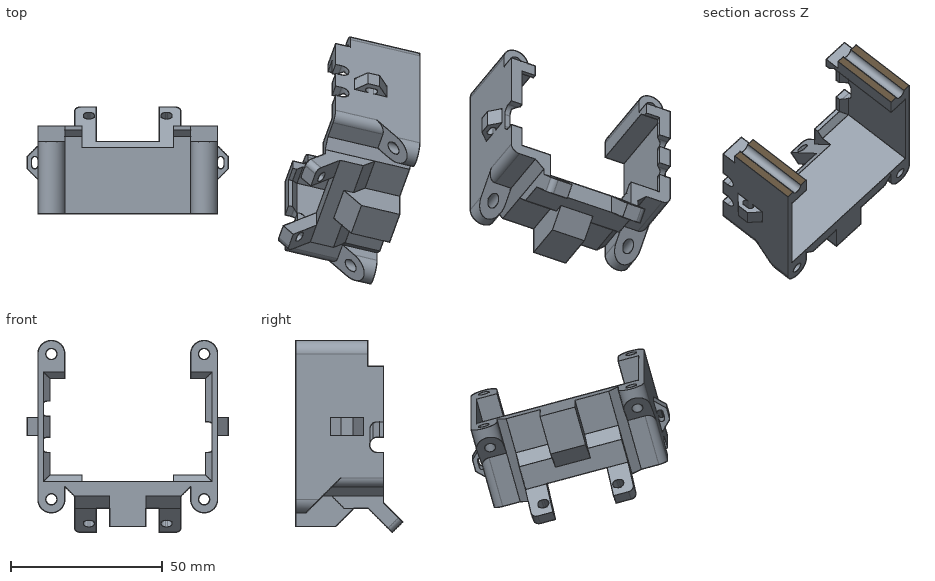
import cadquery as cq
import math


depth = 29.05
half_width = 29.7
wall = 1.9
floor = 1.85
corner_radius = 3.0
inner_half = half_width - wall

lug_width = 9.0
lug_radius = lug_width / 2
lug_x = half_width - lug_radius
lug_inner_x = half_width - lug_width
lug_hole_diameter = 3.6
top_z = 46.55
lug_spacing = 48.0
upper_hole_z = top_z - lug_radius
lower_hole_z = upper_hole_z - lug_spacing
upper_lug_base_z = 36.05
upper_lug_depth = 23.9
rear_shoulder_z = 38.05
lower_lug_depth = 13.75

lip_height = 2.1
lip_land = 1.4

bracket_half = 17.55
bracket_front_z = -4.9
bracket_bottom_z = -8.9
bracket_step_y = 12.0
bracket_bend_y = 23.95
tab_top_y = 21.95
tab_gap_half = 10.4
tab_tip_y = 35.4
tab_corner_radius = 2.0
floor_notch_half = 15.1

tab_hole_x = 12.85
tab_hole_from_tip = 4.1
tab_hole_length = 3.7
tab_hole_width = 3.0

foot_half = 6.0
foot_bottom_z = -14.95
foot_length = 13.25

notch_width = 5.0
notch_depth = 4.6
low_notch_z = 12.05
high_notch_z = 24.0
wide_notch_top_z = 19.6

loop_reach = 3.5
loop_flat = 4.0
loop_y = 16.95
loop_z = 18.1
loop_height = 6.0
loop_slot_width = 2.0
loop_slot_length = 4.0


def box(x0, x1, y0, y1, z0, z1):
    """Box given by its limits along the three axes."""
    return cq.Workplane("XY").box(x1 - x0, y1 - y0, z1 - z0, centered=False).translate((x0, y0, z0))


def side_profile(points, half):
    """Extrude a (y, z) outline symmetrically to x = -half .. +half."""
    return cq.Workplane("YZ").polyline(points).close().extrude(half, both=True)


def front_profile(points, length):
    """Extrude an (x, z) outline from the front face backwards."""
    return cq.Workplane("XZ").polyline(points).close().extrude(-length)


def on_both_sides(solid):
    """Join a solid to its mirror image across the mid-plane."""
    return solid.union(solid.mirror("YZ"))


def make_shell():
    """Floor and side walls, with the long lower outer edges rounded."""
    outer = box(-half_width, half_width, 0, depth, -floor, rear_shoulder_z)
    outer = outer.edges("|Y and <Z").fillet(corner_radius)
    cavity = box(-inner_half, inner_half, 0, depth, 0, upper_lug_base_z)
    gap = box(-lug_inner_x, lug_inner_x, 0, depth, 0, rear_shoulder_z)
    return outer.cut(cavity).cut(gap)


def make_lug(base_z, end_z, length):
    """Right-hand lug from base_z to a round end centred on end_z."""
    low, high = sorted((base_z, end_z))
    body = box(lug_inner_x, half_width, 0, length, low, high)
    end = cq.Workplane("XZ").center(lug_x, end_z).circle(lug_radius).extrude(-length)
    return body.union(end)


def make_lugs():
    upper = make_lug(upper_lug_base_z, upper_hole_z, upper_lug_depth)
    base_z = corner_radius - floor
    lower = make_lug(0, lower_hole_z, depth)
    lower = lower.union(box(inner_half, half_width, 0, depth, 0, base_z))
    lowest_z = lower_hole_z - lug_radius
    slope = side_profile(
        [
            (0, base_z),
            (lower_lug_depth + base_z, base_z),
            (lower_lug_depth + lowest_z, lowest_z),
            (0, lowest_z),
        ],
        half_width,
    )
    return on_both_sides(upper.union(lower.intersect(slope)))


def make_lip():
    """Lip with a 45 degree front flank, open between the upper lugs."""
    slope_y = depth - lip_land - lip_height
    mid_z = upper_lug_base_z / 2
    frame = box(-inner_half, inner_half, slope_y, depth, 0, upper_lug_base_z)
    funnel = (
        cq.Workplane("XZ", origin=(0, slope_y, mid_z))
        .rect(2 * inner_half, upper_lug_base_z)
        .workplane(offset=-lip_height)
        .rect(2 * (inner_half - lip_height), upper_lug_base_z - 2 * lip_height)
        .loft(ruled=True)
    )
    opening = box(
        lip_height - inner_half, inner_half - lip_height,
        depth - lip_land, depth,
        lip_height, upper_lug_base_z - lip_height,
    )
    gap = box(-lug_inner_x, lug_inner_x, 0, depth, mid_z, upper_lug_base_z)
    return frame.cut(funnel).cut(opening).cut(gap)


def make_bracket():
    """Thick plate under the floor with flared sides and a stepped underside."""
    flare = front_profile(
        [
            (-lug_inner_x, -floor),
            (lug_inner_x, -floor),
            (bracket_half, bracket_front_z),
            (-bracket_half, bracket_front_z),
        ],
        depth,
    )
    step = bracket_front_z - bracket_bottom_z
    plate = side_profile(
        [
            (bracket_step_y, bracket_front_z),
            (depth, bracket_front_z),
            (depth, tab_top_y - depth),
            (bracket_bend_y, bracket_bottom_z),
            (bracket_step_y + step, bracket_bottom_z),
        ],
        bracket_half,
    )
    return flare.union(plate)


def make_tabs():
    """Pair of plates tilted 45 degrees downwards, with a rounded tip corner and a slotted hole."""
    upper_face = cq.Plane(origin=(0, tab_top_y, 0), xDir=(1, 0, 0), normal=(0, 1, 1))
    slope_length = (tab_tip_y - tab_top_y) * math.sqrt(2)
    thickness = (tab_top_y - bracket_bend_y - bracket_bottom_z) / math.sqrt(2)
    plate = (
        cq.Workplane(upper_face)
        .center(0, slope_length / 2)
        .rect(2 * bracket_half, slope_length)
        .extrude(-thickness)
    )
    across_plate = cq.selectors.ParallelDirSelector(upper_face.zDir)
    plate = plate.edges(across_plate).edges(">Y").fillet(tab_corner_radius)
    holes = (
        cq.Workplane(upper_face)
        .pushPoints([(side * tab_hole_x, slope_length - tab_hole_from_tip) for side in (-1, 1)])
        .slot2D(tab_hole_length, tab_hole_width)
        .extrude(-thickness)
    )
    return plate.cut(holes)


def make_floor_notch():
    """Space cleared above the tilted plate, where it cuts into the floor and the lip."""
    return side_profile(
        [(tab_top_y, 0), (tab_top_y, lip_height), (depth, lip_height), (depth, tab_top_y - depth)],
        floor_notch_half,
    )


def make_tab_gap():
    """Clearance between the two tabs."""
    tip_thickness = tab_top_y - bracket_bend_y - bracket_bottom_z
    lowest_z = tab_top_y - tab_tip_y - tip_thickness
    return box(-tab_gap_half, tab_gap_half, bracket_bend_y, tab_tip_y, lowest_z, 0)


def make_foot():
    """Central block with a 45 degree rear face."""
    height = bracket_front_z - foot_bottom_z
    return side_profile(
        [
            (0, bracket_front_z),
            (0, foot_bottom_z),
            (foot_length, foot_bottom_z),
            (foot_length + height, bracket_front_z),
        ],
        foot_half,
    )


def make_screw_holes():
    """Holes through the four lugs from front to back."""
    centres = [(side * lug_x, z) for side in (-1, 1) for z in (upper_hole_z, lower_hole_z)]
    return cq.Workplane("XZ").pushPoints(centres).circle(lug_hole_diameter / 2).extrude(-depth)


def make_notch(centre_z, side):
    """Round-ended notch in one wall, open at the rear edge; side is -1 (left) or 1 (right)."""
    return (
        cq.Workplane("YZ", origin=(side * lug_inner_x, 0, 0))
        .center(depth, centre_z)
        .slot2D(2 * notch_depth, notch_width)
        .extrude(side * lug_width)
    )


def make_notches():
    radius = notch_width / 2
    left = make_notch(low_notch_z, -1).union(make_notch(high_notch_z, -1))
    wide_top_z = wide_notch_top_z - radius
    right = make_notch(low_notch_z, 1).union(make_notch(wide_top_z, 1))
    between = box(lug_inner_x, half_width, depth - notch_depth, depth, low_notch_z, wide_top_z)
    return left.union(right).union(between)


def make_loops():
    """Trapezoidal strap loops with a vertical slot against each wall."""
    root_half = loop_flat / 2 + loop_reach
    outline = [
        (half_width, loop_y - root_half),
        (half_width + loop_reach, loop_y - loop_flat / 2),
        (half_width + loop_reach, loop_y + loop_flat / 2),
        (half_width, loop_y + root_half),
    ]
    base = cq.Workplane("XY", origin=(0, 0, loop_z - loop_height / 2))
    loop = base.polyline(outline).close().extrude(loop_height)
    slot = (
        base.center(half_width + loop_slot_width / 2, loop_y)
        .slot2D(loop_slot_length, loop_slot_width, 90)
        .extrude(loop_height)
    )
    return on_both_sides(loop.cut(slot))


frame = make_shell().union(make_lugs()).union(make_lip())
bracket = make_bracket().union(make_tabs()).union(make_foot())
result = (
    frame.union(bracket)
    .cut(make_floor_notch())
    .cut(make_tab_gap())
    .cut(make_screw_holes())
    .cut(make_notches())
    .union(make_loops())
)